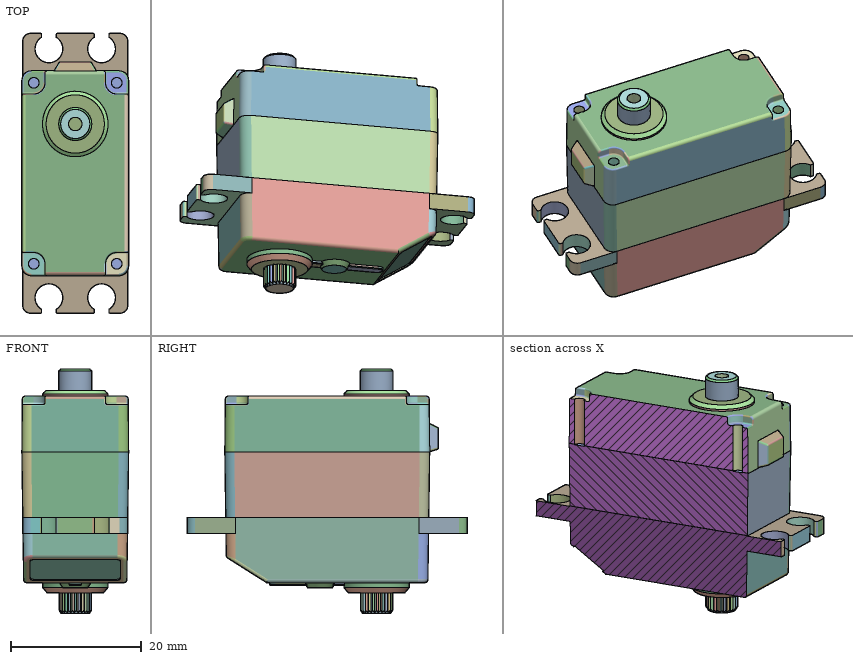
import cadquery as cq
import math

COVER_TOP = 14.55
COVER_SPLIT = 6.0
BASE_SPLIT = -4.02
BASE_BOTTOM = -14.0

CASE_WIDTH = 16.35
CASE_LENGTH = 31.35
CORNER_RADIUS = 1.5
COVER_DRAFT = 0.5
CASE_DRAFT = 0.8
EDGE_FILLET = 0.5

SCREW_X = 6.35
SCREW_Y = 13.82
SCREW_RADIUS = 0.8
POCKET_RADIUS = 1.7
POCKET_FLOOR = 13.25
POCKET_FILLET = 0.2

TAB_REACH = 17.0
TAB_ROOT_Y = 15.62
TAB_ROOT_WIDTH = 6.5
TAB_TIP_WIDTH = 4.9
TAB_ROOT_TOP = 10.35
TAB_TIP_TOP = 9.67
TAB_TIP_BOTTOM = 6.4
TAB_FILLET = 0.3

AXIS_Y = 7.55
BOSS_RADIUS = 5.0
TOP_BOSS_HEIGHT = 0.85
TOP_BOSS_CHAMFER = 0.55
LOWER_BOSS_HEIGHT = 1.55
LOWER_BOSS_CHAMFER_HEIGHT = 0.8
LOWER_BOSS_CHAMFER_WIDTH = 0.7

PIVOT_TOP = 18.65
PIVOT_RADIUS = 2.53
PIVOT_CHAMFER = 0.3
PIVOT_HOLE_RADIUS = 1.03
SPLINE_BOTTOM = -18.7
SPLINE_TIP_RADIUS = 2.5
SPLINE_ROOT_RADIUS = 2.23
SPLINE_TEETH = 25
SPLINE_CHAMFER_HEIGHT = 0.5
SPLINE_CHAMFER_WIDTH = 0.35

EAR_LENGTH = 42.8
EAR_WIDTH = 16.1
EAR_THICKNESS = 2.5
EAR_CORNER_RADIUS = 1.25
EAR_HOLE_X = 4.02
EAR_HOLE_Y = 19.0
EAR_HOLE_RADIUS = 2.1
EAR_SLOT_WIDTH = 2.23
EAR_SLOT_MOUTH_FILLET = 0.2

SLOPE_START_Y = -9.25
SLOPE_ANGLE = 32.3
LABEL_WIDTH = 13.8
LABEL_TOP = -10.45
LABEL_BOTTOM = -13.65
LABEL_DEPTH = 0.2
LABEL_CORNER_RADIUS = 0.65

RIB_END_Y = -8.8
RIB_WIDTH = 1.9
RIB_HEIGHT = 0.43
RIB_CHAMFER = 0.13
PAD_Y = -1.1
PAD_HEIGHT = 0.75
PAD_ROOT_RADIUS = 2.45
PAD_FACE_RADIUS = 1.9

BOSS_TOP = COVER_TOP + TOP_BOSS_HEIGHT
BOSS_BOTTOM = BASE_BOTTOM - LOWER_BOSS_HEIGHT
CASE_NARROWING = 2 * (COVER_SPLIT - BASE_SPLIT) * math.tan(math.radians(CASE_DRAFT))
BASE_WIDTH = CASE_WIDTH - CASE_NARROWING
BASE_LENGTH = CASE_LENGTH - CASE_NARROWING
SLOPE_GRADIENT = math.tan(math.radians(SLOPE_ANGLE))

SELECT_MARGIN = 0.05

CORNERS = [(sx, sy) for sx in (-1, 1) for sy in (-1, 1)]


def drafted_block(width, length, start, end, draft):
    """Rectangular block that narrows from height start to height end, with rounded vertical corners."""
    block = cq.Workplane("XY").workplane(offset=start).rect(width, length)
    block = block.extrude(end - start, taper=draft)
    return block.edges("not (#Z or |X or |Y)").fillet(CORNER_RADIUS)


def turned(profile):
    """Solid of revolution about the output axis from (radius, height) points."""
    solid = cq.Workplane("XZ").polyline(profile).close().revolve(360, (0, 0, 0), (0, 1, 0))
    return solid.translate((0, AXIS_Y, 0))


def corner_pocket(sx, sy):
    """Cutter for one screw pocket, open towards the two outer sides of the corner."""
    reach = CASE_WIDTH
    return (
        cq.Workplane("XY", origin=(sx * SCREW_X, sy * SCREW_Y, POCKET_FLOOR))
        .moveTo(-sx * POCKET_RADIUS, 0)
        .radiusArc((0, -sy * POCKET_RADIUS), -sx * sy * POCKET_RADIUS)
        .lineTo(sx * reach, -sy * POCKET_RADIUS)
        .lineTo(sx * reach, sy * reach)
        .lineTo(-sx * POCKET_RADIUS, sy * reach)
        .close()
        .extrude(COVER_TOP - POCKET_FLOOR)
    )


def make_tab():
    """Tapered catch that narrows towards its outer face."""
    root_z = (TAB_ROOT_TOP + COVER_SPLIT) / 2
    tip_z = (TAB_TIP_TOP + TAB_TIP_BOTTOM) / 2
    tab = (
        cq.Workplane("XZ", origin=(0, TAB_ROOT_Y, 0))
        .center(0, root_z)
        .rect(TAB_ROOT_WIDTH, TAB_ROOT_TOP - COVER_SPLIT)
        .workplane(offset=TAB_ROOT_Y - TAB_REACH)
        .center(0, tip_z - root_z)
        .rect(TAB_TIP_WIDTH, TAB_TIP_TOP - TAB_TIP_BOTTOM)
        .loft()
    )
    return tab.faces("not <Y").edges("not(<Y)").fillet(TAB_FILLET)


def soften_pocket(cover, sx, sy):
    """Round the rim, the foot and the outer edge of one screw pocket."""
    inner_x = sx * (SCREW_X - POCKET_RADIUS - SELECT_MARGIN)
    inner_y = sy * (SCREW_Y - POCKET_RADIUS - SELECT_MARGIN)
    outer_x = sx * CASE_WIDTH
    outer_y = sy * CASE_LENGTH
    region = cq.selectors.BoxSelector(
        (inner_x, inner_y, POCKET_FLOOR - SELECT_MARGIN),
        (outer_x, outer_y, COVER_TOP + SELECT_MARGIN),
    )
    return cover.edges(region).fillet(POCKET_FILLET)


def make_cover():
    cover = drafted_block(CASE_WIDTH, CASE_LENGTH, COVER_SPLIT, COVER_TOP, COVER_DRAFT)
    cover = cover.faces(">Z").edges().fillet(EDGE_FILLET)
    for sx, sy in CORNERS:
        cover = cover.cut(corner_pocket(sx, sy))
    for sx, sy in CORNERS:
        cover = soften_pocket(cover, sx, sy)
    screw_points = [(sx * SCREW_X, sy * SCREW_Y) for sx, sy in CORNERS]
    holes = (
        cq.Workplane("XY", origin=(0, 0, COVER_SPLIT))
        .pushPoints(screw_points)
        .circle(SCREW_RADIUS)
        .extrude(COVER_TOP - COVER_SPLIT)
    )
    boss = turned([
        (0, COVER_SPLIT),
        (BOSS_RADIUS, COVER_SPLIT),
        (BOSS_RADIUS, BOSS_TOP - TOP_BOSS_CHAMFER),
        (BOSS_RADIUS - TOP_BOSS_CHAMFER, BOSS_TOP),
        (0, BOSS_TOP),
    ])
    return cover.cut(holes).union(boss).union(make_tab())


def make_middle_case():
    return drafted_block(CASE_WIDTH, CASE_LENGTH, COVER_SPLIT, BASE_SPLIT, CASE_DRAFT)


def make_slope_cutter():
    """Wedge that takes off the lower -Y corner of the base."""
    end_y = -CASE_LENGTH
    rise = (SLOPE_START_Y - end_y) * SLOPE_GRADIENT
    return (
        cq.Workplane("YZ")
        .polyline([(SLOPE_START_Y, BASE_BOTTOM), (end_y, BASE_BOTTOM), (end_y, BASE_BOTTOM + rise)])
        .close()
        .extrude(CASE_WIDTH, both=True)
    )


def make_label_recess():
    """Shallow rounded rectangle sunk square into the sloped face."""
    middle_z = (LABEL_TOP + LABEL_BOTTOM) / 2
    middle_y = SLOPE_START_Y - (middle_z - BASE_BOTTOM) / SLOPE_GRADIENT
    length = (LABEL_TOP - LABEL_BOTTOM) / math.sin(math.radians(SLOPE_ANGLE))
    outward = (0, -math.sin(math.radians(SLOPE_ANGLE)), -math.cos(math.radians(SLOPE_ANGLE)))
    face = cq.Plane(origin=(0, middle_y, middle_z), xDir=(1, 0, 0), normal=outward)
    recess = cq.Workplane(face).rect(LABEL_WIDTH, length).extrude(-LABEL_DEPTH)
    return recess.edges(cq.selectors.ParallelDirSelector(cq.Vector(outward))).fillet(LABEL_CORNER_RADIUS)


def make_ear(side):
    """Mounting ear at the +Y (side 1) or -Y (side -1) end, with two open-ended screw holes."""
    inner_y = BASE_LENGTH / 2 - CORNER_RADIUS
    outer_y = EAR_LENGTH / 2
    ear = (
        cq.Workplane("XY", origin=(0, side * (inner_y + outer_y) / 2, BASE_SPLIT - EAR_THICKNESS))
        .rect(EAR_WIDTH, outer_y - inner_y)
        .extrude(EAR_THICKNESS)
    )
    outer_corners = "|Z and >Y" if side > 0 else "|Z and <Y"
    ear = ear.edges(outer_corners).fillet(EAR_CORNER_RADIUS)
    for hole_x in (-EAR_HOLE_X, EAR_HOLE_X):
        hole = cq.Workplane("XY", origin=(hole_x, side * EAR_HOLE_Y, BASE_SPLIT))
        ear = ear.cut(hole.circle(EAR_HOLE_RADIUS).extrude(-EAR_THICKNESS))
        slot = hole.center(0, side * EAR_HOLE_RADIUS).rect(EAR_SLOT_WIDTH, 2 * EAR_HOLE_RADIUS)
        ear = ear.cut(slot.extrude(-EAR_THICKNESS))
    mouth_y = side * outer_y
    mouth_x = EAR_HOLE_X + EAR_SLOT_WIDTH
    mouths = cq.selectors.BoxSelector(
        (-mouth_x, mouth_y - SELECT_MARGIN, BASE_SPLIT),
        (mouth_x, mouth_y + SELECT_MARGIN, BASE_SPLIT - EAR_THICKNESS),
    )
    return ear.edges("|Z").edges(mouths).fillet(EAR_SLOT_MOUTH_FILLET)


def make_rib():
    """Low rib from the output axis towards -Y, ending in a half round."""
    round_y = RIB_END_Y + RIB_WIDTH / 2
    rib = (
        cq.Workplane("XY", origin=(0, 0, BASE_BOTTOM))
        .moveTo(RIB_WIDTH / 2, AXIS_Y)
        .lineTo(RIB_WIDTH / 2, round_y)
        .threePointArc((0, RIB_END_Y), (-RIB_WIDTH / 2, round_y))
        .lineTo(-RIB_WIDTH / 2, AXIS_Y)
        .close()
        .extrude(-RIB_HEIGHT)
    )
    return rib.faces("<Z").edges().chamfer(RIB_CHAMFER)


def make_pad():
    """Round pad with a conical side."""
    return (
        cq.Workplane("XY", origin=(0, PAD_Y, BASE_BOTTOM))
        .circle(PAD_ROOT_RADIUS)
        .workplane(offset=-PAD_HEIGHT)
        .circle(PAD_FACE_RADIUS)
        .loft()
    )


def make_base():
    slope_top = BASE_BOTTOM + (SLOPE_START_Y + BASE_LENGTH / 2) * SLOPE_GRADIENT
    lower_edges = cq.selectors.BoxSelector(
        (-BASE_WIDTH, -BASE_LENGTH, BASE_BOTTOM - SELECT_MARGIN),
        (BASE_WIDTH, BASE_LENGTH, slope_top + SELECT_MARGIN),
    )
    crease = cq.selectors.NearestToPointSelector((0, SLOPE_START_Y, BASE_BOTTOM))
    base = drafted_block(BASE_WIDTH, BASE_LENGTH, BASE_SPLIT, BASE_BOTTOM, CASE_DRAFT)
    base = base.cut(make_slope_cutter())
    base = base.edges(lower_edges - crease).fillet(EDGE_FILLET)
    boss = turned([
        (0, BASE_SPLIT),
        (BOSS_RADIUS, BASE_SPLIT),
        (BOSS_RADIUS, BOSS_BOTTOM + LOWER_BOSS_CHAMFER_HEIGHT),
        (BOSS_RADIUS - LOWER_BOSS_CHAMFER_WIDTH, BOSS_BOTTOM),
        (0, BOSS_BOTTOM),
    ])
    base = base.cut(make_label_recess())
    for side in (-1, 1):
        base = base.union(make_ear(side))
    return base.union(boss).union(make_rib()).union(make_pad())


def make_pivot():
    """Plain hollow pivot standing on the upper boss."""
    pivot = cq.Workplane("XY", origin=(0, AXIS_Y, BOSS_TOP)).circle(PIVOT_RADIUS)
    pivot = pivot.extrude(PIVOT_TOP - BOSS_TOP).faces(">Z").edges().chamfer(PIVOT_CHAMFER)
    return pivot.faces(">Z").workplane().circle(PIVOT_HOLE_RADIUS).cutThruAll()


def make_spline_shaft():
    """Splined shaft below the lower boss, its teeth bevelled at the free end."""
    step = math.pi / SPLINE_TEETH
    points = []
    for i in range(2 * SPLINE_TEETH):
        radius = SPLINE_TIP_RADIUS if i % 2 == 0 else SPLINE_ROOT_RADIUS
        points.append((radius * math.cos(i * step), radius * math.sin(i * step)))
    toothed = (
        cq.Workplane("XY", origin=(0, AXIS_Y, BOSS_BOTTOM))
        .polyline(points)
        .close()
        .extrude(SPLINE_BOTTOM - BOSS_BOTTOM)
    )
    envelope = turned([
        (0, BOSS_BOTTOM),
        (SPLINE_TIP_RADIUS, BOSS_BOTTOM),
        (SPLINE_TIP_RADIUS, SPLINE_BOTTOM + SPLINE_CHAMFER_HEIGHT),
        (SPLINE_TIP_RADIUS - SPLINE_CHAMFER_WIDTH, SPLINE_BOTTOM),
        (0, SPLINE_BOTTOM),
    ])
    return toothed.intersect(envelope)


cover = make_cover()
middle_case = make_middle_case()
base = make_base()
pivot = make_pivot()
spline_shaft = make_spline_shaft()
result = cq.Compound.makeCompound(
    [cover.val(), middle_case.val(), base.val(), pivot.val(), spline_shaft.val()]
)